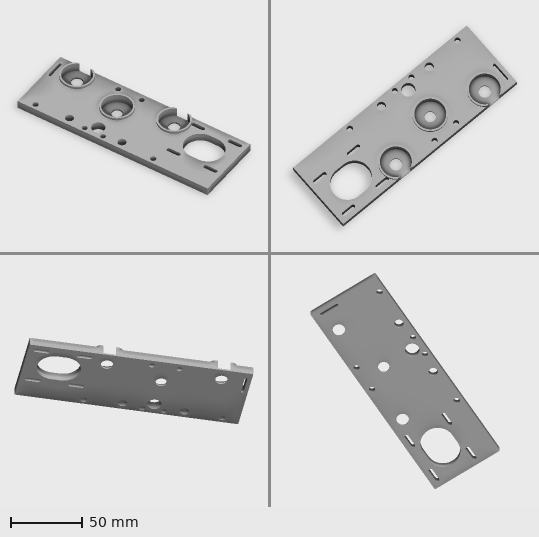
import cadquery as cq

plate_length = 159.6
plate_width = 54.0
plate_thickness = 6.4
total_height = 8.3

rim_diameter = 25.0
seat_diameter = 22.3
seat_depth = 7.0
seat_floor = total_height - seat_depth
middle_x = 61.6
middle_seat_y = 32.9
outer_seat_y = 43.7
seat_spacing = 40.9
outer_bore = 8.8
middle_bore = 8.0
seats = [
    (middle_x - seat_spacing, outer_seat_y, outer_bore),
    (middle_x, middle_seat_y, middle_bore),
    (middle_x + seat_spacing, outer_seat_y, outer_bore),
]

access_diameter = 10.0
access_y = 9.1
large_diameter = 6.4
large_half_spacing = 22.0
large_y = 5.9
edge_diameter = 4.5
edge_half_spacing = 49.5
edge_y = 4.1
screw_diameter = 4.1
lower_screw_half_spacing = 7.7
lower_screw_y = 3.5
upper_screw_half_spacing = 9.9
upper_screw_y = 49.2

opening_x = 134.7
opening_y = 33.2
opening_length = 31.0
opening_width = 24.4
slot_length = 11.3
slot_width = 3.0
slot_half_spacing_x = 15.5
slot_half_spacing_y = 15.5

end_slot_x = 4.0
end_slot_y = 41.0
end_slot_length = 15.0
end_slot_width = 2.0


def cylinder(x, y, diameter, bottom, top):
    """Upright cylinder between two heights."""
    base = cq.Workplane("XY", origin=(x, y, bottom))
    return base.circle(diameter / 2).extrude(top - bottom)


def drill_pair(body, half_spacing, y, diameter):
    """Drill two plate holes placed evenly about the middle seat's x."""
    for x in (middle_x - half_spacing, middle_x + half_spacing):
        body = body.cut(cylinder(x, y, diameter, 0, plate_thickness))
    return body


def slot(x, y, length, width, angle=0):
    """Round-ended slot cutter as thick as the plate."""
    base = cq.Workplane("XY", origin=(x, y, 0))
    return base.slot2D(length, width, angle).extrude(plate_thickness)


plate = cq.Workplane("XY").box(plate_length, plate_width, plate_thickness, centered=False)

plate = plate.cut(cylinder(middle_x, access_y, access_diameter, 0, plate_thickness))
plate = drill_pair(plate, large_half_spacing, large_y, large_diameter)
plate = drill_pair(plate, edge_half_spacing, edge_y, edge_diameter)
plate = drill_pair(plate, lower_screw_half_spacing, lower_screw_y, screw_diameter)
plate = drill_pair(plate, upper_screw_half_spacing, upper_screw_y, screw_diameter)

plate = plate.cut(slot(opening_x, opening_y, opening_length, opening_width))
for side_x in (-1, 1):
    for side_y in (-1, 1):
        slot_x = opening_x + side_x * slot_half_spacing_x
        slot_y = opening_y + side_y * slot_half_spacing_y
        plate = plate.cut(slot(slot_x, slot_y, slot_length, slot_width))
plate = plate.cut(slot(end_slot_x, end_slot_y, end_slot_length, end_slot_width, 90))

envelope = cq.Workplane("XY").box(plate_length, plate_width, total_height, centered=False)
for x, y, bore in seats:
    rim = cylinder(x, y, rim_diameter, plate_thickness, total_height)
    plate = plate.union(rim.intersect(envelope))
    plate = plate.cut(cylinder(x, y, seat_diameter, seat_floor, total_height))
    plate = plate.cut(cylinder(x, y, bore, 0, seat_floor))

result = plate